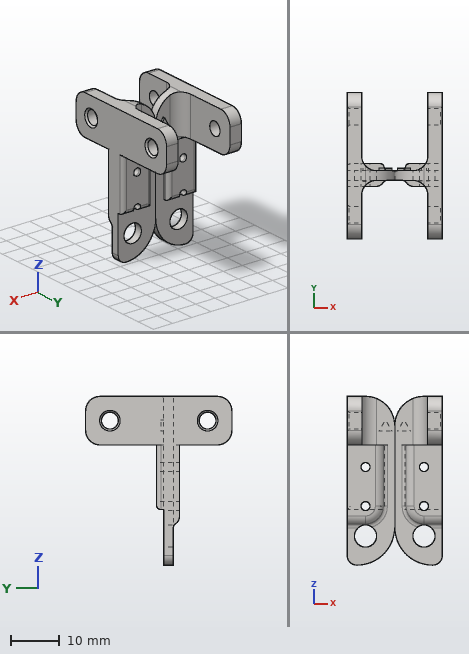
import cadquery as cq
import math


half_width = 9.75
height = 34.6

flange_length = 30.0
flange_height = 10.0
flange_thickness = 3.0
flange_corner_radius = 3.0
flange_hole_diameter = 3.4
flange_hole_spacing = 20.0
flange_hole_chamfer = 0.4

web_thickness = 2.0
web_back = -1.0
web_front = web_back - web_thickness
web_top_radius = 6.0
web_outer_radius = 2.0
web_bottom_radius = half_width - web_outer_radius
root_fillet_radius = 3.0

hole_line_x = -6.0
small_hole_diameter = 1.8
small_hole_depths = (14.5, 22.5)
large_hole_diameter = 4.5
large_hole_depth = 28.6

front_pad_rise = 1.28
front_pad_corner_radius = 2.0
front_pad_corner_z = -small_hole_depths[1]
rim_round_radius = 2.0
rim_blend_radius = 1.0

back_pad_rise = 1.5
back_pad_inner_x = -2.15
back_pad_bottom = -23.2
back_pad_edge_radius = 0.95

marker_side = 2.7
marker_rise = 0.52
marker_x = -1.9
marker_z = -6.0

flange_inner_x = flange_thickness - half_width
front_pad_face = web_front - front_pad_rise
web_middle = (web_front + web_back) / 2


def make_block(x_range, y_range, z_range):
    """Box between two limits on each axis."""
    sizes = [high - low for low, high in (x_range, y_range, z_range)]
    corner = (x_range[0], y_range[0], z_range[0])
    return cq.Workplane("XY", origin=corner).box(*sizes, centered=False)


def make_flange():
    """Upright plate with rounded corners."""
    half_length = flange_length / 2
    plate = make_block((-half_width, flange_inner_x), (-half_length, half_length), (-flange_height, 0))
    return plate.edges("|X").fillet(flange_corner_radius)


def make_web_outline(front, back):
    """Web silhouette filled from y = front to y = back."""
    diagonal = math.sqrt(0.5)
    top_centre = (-web_top_radius, -web_top_radius)
    bottom_centre = (-web_bottom_radius, web_bottom_radius - height)
    outer_centre = (web_outer_radius - half_width, web_outer_radius - height)

    def mid_arc(centre, radius, x_sign, z_sign):
        return (centre[0] + x_sign * radius * diagonal, centre[1] + z_sign * radius * diagonal)

    return (
        cq.Workplane("XZ", origin=(0, back, 0))
        .moveTo(-half_width, 0)
        .lineTo(top_centre[0], 0)
        .threePointArc(mid_arc(top_centre, web_top_radius, 1, 1), (0, top_centre[1]))
        .lineTo(0, bottom_centre[1])
        .threePointArc(mid_arc(bottom_centre, web_bottom_radius, 1, -1), (bottom_centre[0], -height))
        .threePointArc(mid_arc(outer_centre, web_outer_radius, -1, -1), (-half_width, outer_centre[1]))
        .close()
        .extrude(back - front)
    )


def make_root_fillets():
    """Concave fillets where the web meets the flange plate, trimmed to the web silhouette."""
    radius = root_fillet_radius
    back_limit = web_back + radius
    front_limit = web_front - radius
    arc_end_x = flange_inner_x + radius
    inset = radius * (1 - math.sqrt(0.5))
    root = (
        cq.Workplane("XY")
        .moveTo(flange_inner_x, back_limit)
        .threePointArc((flange_inner_x + inset, web_back + inset), (arc_end_x, web_back))
        .lineTo(arc_end_x, web_front)
        .threePointArc((flange_inner_x + inset, web_front - inset), (flange_inner_x, front_limit))
        .close()
        .extrude(-flange_height)
    )
    return root.intersect(make_web_outline(front_limit, back_limit))


def draw_rim(plane):
    """Section of the front pad rim: local x points outward from the hole line, local y forward."""
    angle = math.acos(1 - front_pad_rise / (rim_round_radius + rim_blend_radius))
    top = -front_pad_face
    base = -web_front
    start = front_pad_corner_radius
    end = start + (rim_round_radius + rim_blend_radius) * math.sin(angle)

    def round_point(turn):
        return (start + rim_round_radius * math.sin(turn), top - rim_round_radius * (1 - math.cos(turn)))

    def blend_point(turn):
        return (end - rim_blend_radius * math.sin(turn), base + rim_blend_radius * (1 - math.cos(turn)))

    return (
        cq.Workplane(plane)
        .moveTo(0, -web_middle)
        .lineTo(0, top)
        .lineTo(start, top)
        .threePointArc(round_point(angle / 2), round_point(angle))
        .threePointArc(blend_point(angle / 2), (end, base))
        .lineTo(end, -web_middle)
        .close()
    )


def make_front_pad():
    """Raised pad with the rim along its inner side, round its corner and along its bottom."""
    outward, down, outer_side = (1, 0, 0), (0, 0, -1), (-1, 0, 0)
    side_start = (hole_line_x, 0, -flange_height)
    corner = (hole_line_x, 0, front_pad_corner_z)
    core = make_block(
        (-half_width, hole_line_x), (front_pad_face, web_middle), (front_pad_corner_z, -flange_height)
    )
    inner_side = draw_rim(cq.Plane(side_start, outward, down)).extrude(-flange_height - front_pad_corner_z)
    round_corner = draw_rim(cq.Plane(corner, outward, down)).revolve(90, (0, 0.35), (0, 0))
    bottom = draw_rim(cq.Plane(corner, down, outer_side)).extrude(half_width + hole_line_x)
    return core.union(inner_side).union(round_corner).union(bottom)


def make_back_pad():
    """Raised block whose side and bottom edges on the back face are rounded."""
    pad = make_block(
        (-half_width, back_pad_inner_x),
        (web_middle, web_back + back_pad_rise),
        (back_pad_bottom, -flange_height),
    )
    return pad.faces(">Y").edges("|Z or <Z").fillet(back_pad_edge_radius)


def make_marker():
    """Raised equilateral triangle pointing up."""
    half_side = marker_side / 2
    triangle_height = marker_side * math.sqrt(3) / 2
    base_z = marker_z - triangle_height / 2
    corners = [
        (marker_x - half_side, base_z),
        (marker_x + half_side, base_z),
        (marker_x, base_z + triangle_height),
    ]
    rise_end = web_back + marker_rise
    return cq.Workplane("XZ", origin=(0, rise_end, 0)).polyline(corners).close().extrude(rise_end - web_middle)


def cut_flange_holes(body):
    """Two holes through the flange plate, chamfered on its outer face."""
    radius = flange_hole_diameter / 2
    for y in (-flange_hole_spacing / 2, flange_hole_spacing / 2):
        hole_start = cq.Vector(-half_width, y, -flange_height / 2)
        through = cq.Vector(1, 0, 0)
        body = body.cut(cq.Solid.makeCylinder(radius, flange_thickness, hole_start, through))
        body = body.cut(
            cq.Solid.makeCone(radius + flange_hole_chamfer, radius, flange_hole_chamfer, hole_start, through)
        )
    return body


def cut_web_holes(body):
    """Two small holes through the pads and a large one below them."""
    holes = [(small_hole_diameter, depth) for depth in small_hole_depths]
    holes.append((large_hole_diameter, large_hole_depth))
    for diameter, depth in holes:
        drill = cq.Workplane("XZ").center(hole_line_x, -depth).circle(diameter / 2)
        body = body.cut(drill.extrude(flange_length / 2, both=True))
    return body


def make_bracket():
    """Left bracket, on the -X side of the mirror plane."""
    body = make_flange().union(make_web_outline(web_front, web_back))
    body = body.union(make_root_fillets())
    body = body.union(make_front_pad())
    body = body.union(make_back_pad())
    body = body.union(make_marker())
    return cut_web_holes(cut_flange_holes(body))


left_bracket = make_bracket()
right_bracket = left_bracket.mirror("YZ")

result = cq.Compound.makeCompound([left_bracket.val(), right_bracket.val()])